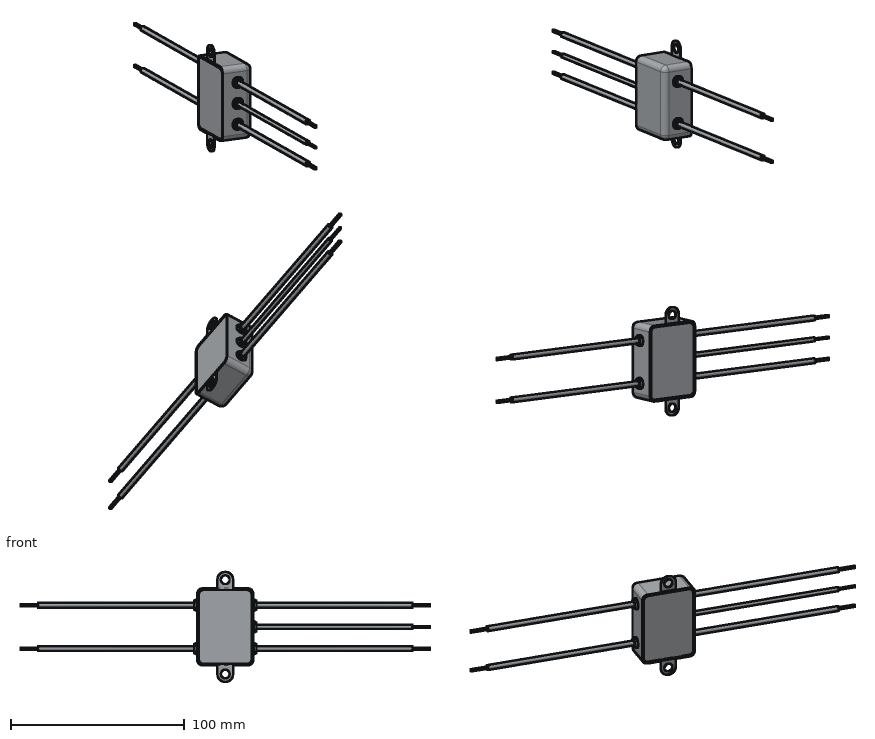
import cadquery as cq

body_width = 32.4
body_depth = 19.0
body_height = 44.5
body_radius = 3.5

wall = 0.9
groove_width = 0.2
groove_depth = 1.0

tab_span = 63.4
tab_width = 9.2
tab_thickness = 0.6
tab_hole_diameter = 4.9
tab_hole_offset = (tab_span - tab_width) / 2

lead_span = 235.5
lead_y = body_depth / 2
lead_offset = 12.5
bare_length = 10.2
outer_lead_diameter = 3.0
outer_core_diameter = 1.5
middle_lead_diameter = 2.5
middle_core_diameter = 1.2

bushing_diameter = 6.5
bushing_length = 1.7
bushing_taper_length = 1.3
bushing_taper_depth = 0.7

embed = 2.0


def rounded_block(inset, depth):
    """Block behind the front face, smaller than the enclosure outline by the inset all round."""
    return (
        cq.Workplane("XZ")
        .rect(body_width - 2 * inset, body_height - 2 * inset)
        .extrude(-depth)
        .edges("|Y")
        .fillet(body_radius - inset)
    )


def make_enclosure():
    return rounded_block(0, body_depth).faces(">Y").edges().fillet(body_radius)


def make_tab_strip():
    """Strip with round ends; only the ends stand clear of the enclosure as tabs."""
    return cq.Workplane("XZ").slot2D(tab_span, tab_width, 90).extrude(-tab_thickness)


def make_tab_holes():
    return (
        cq.Workplane("XZ")
        .pushPoints([(0, -tab_hole_offset), (0, tab_hole_offset)])
        .circle(tab_hole_diameter / 2)
        .extrude(-tab_thickness)
    )


def make_lid_groove():
    lid = rounded_block(wall + groove_width, groove_depth)
    return rounded_block(wall, groove_depth).cut(lid)


def rod(diameter, end_x, z):
    """Cylinder along X from inside the right-hand wall out to end_x."""
    start_x = body_width / 2 - embed
    plane = cq.Plane(origin=(start_x, lead_y, z), xDir=(0, 0, 1), normal=(1, 0, 0))
    return cq.Workplane(plane).circle(diameter / 2).extrude(end_x - start_x)


def make_right_lead(z, lead_diameter, core_diameter):
    """Bushing, insulated lead and bare core leaving the right-hand wall."""
    tip_x = lead_span / 2
    bushing = rod(bushing_diameter, body_width / 2 + bushing_length, z)
    bushing = bushing.faces(">X").chamfer(bushing_taper_length, bushing_taper_depth)
    insulation = rod(lead_diameter, tip_x - bare_length, z)
    core = rod(core_diameter, tip_x, z)
    return bushing.union(insulation).union(core)


result = make_enclosure().union(make_tab_strip()).cut(make_tab_holes()).cut(make_lid_groove())

for lead_z in (-lead_offset, lead_offset):
    right_lead = make_right_lead(lead_z, outer_lead_diameter, outer_core_diameter)
    result = result.union(right_lead).union(right_lead.mirror("YZ"))

result = result.union(make_right_lead(0, middle_lead_diameter, middle_core_diameter))